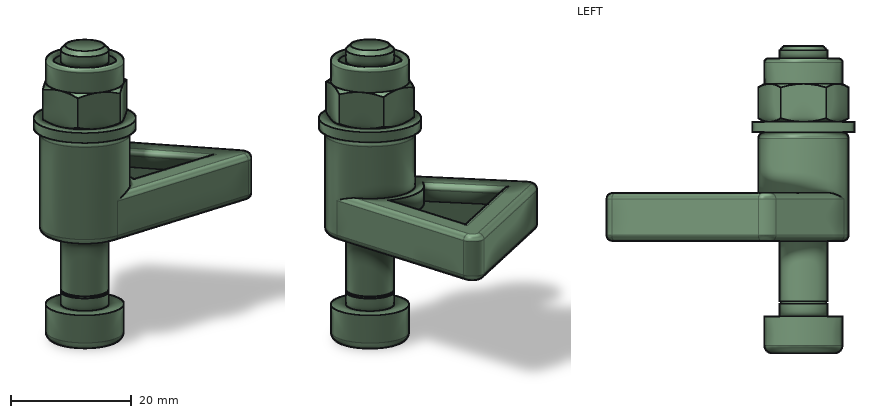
import cadquery as cq
import math

HEAD_TOP = 6.1
GROOVE_BOTTOM = 8.25
GROOVE_TOP = 8.6
HANDLE_BOTTOM = 18.6
ARM_HEIGHT = 8.0
BARREL_TOP = 36.65
WASHER_TOP = 38.4
HEX_TOP = 44.7
NUT_TOP = 48.9
BOLT_TOP = 51.0

SHANK_DIAMETER = 8.0
SHANK_RADIUS = SHANK_DIAMETER / 2
GROOVE_DIAMETER = 7.6
HEAD_DIAMETER = 13.0
HEAD_ROUNDING = 1.4
TIP_CHAMFER = 0.75

WASHER_DIAMETER = 17.0
NUT_ACROSS_FLATS = 13.0
NUT_CHAMFER_ANGLE = 30.0
LIP_THICKNESS = 1.35

BARREL_RADIUS = 15.0 / 2
CORNER_RADIUS = 2.0
OVERALL_LENGTH_X = 35.45
OVERALL_LENGTH_Y = 41.15
LEFT_CORNER_X = WASHER_DIAMETER / 2 - OVERALL_LENGTH_X + CORNER_RADIUS
LEFT_CORNER = (LEFT_CORNER_X, 6.4)
BACK_CORNER_Y = OVERALL_LENGTH_Y - WASHER_DIAMETER / 2 - CORNER_RADIUS
BACK_CORNER = (-8.15, BACK_CORNER_Y)
EDGE_ROUNDING = 1.0
RIM_WIDTH = 5.0
POCKET_DEPTH = 3.0
POCKET_END_RADIUS = 9.0
ARM_TOP = HANDLE_BOTTOM + ARM_HEIGHT


def cylinder(radius, bottom, top):
    return cq.Workplane("XY").workplane(offset=bottom).circle(radius).extrude(top - bottom)


def bore(body):
    """Cut the hole that the bolt shank fills."""
    return body.cut(cylinder(SHANK_RADIUS, 0, BOLT_TOP))


def on_circle(center, radius, angle):
    return (center[0] + radius * math.cos(angle), center[1] + radius * math.sin(angle))


def tangent_angle(start, start_radius, end, end_radius):
    """Direction of the shared normal of the tangent that keeps both circles on its left."""
    dx = end[0] - start[0]
    dy = end[1] - start[1]
    turn = math.acos((start_radius - end_radius) / math.hypot(dx, dy))
    return math.atan2(dy, dx) - turn


def middle_angle(first, second):
    """Angle halfway along the counterclockwise turn from first to second."""
    return first + (second - first) % (2 * math.pi) / 2


def add_corner(outline, center, radius, first, second):
    """Continue the outline around a corner, turning its normal from first to second.

    A negative radius stands for an inset past the corner center, which leaves a sharp corner.
    """
    middle = middle_angle(first, second)
    if radius < 0:
        return outline.lineTo(*on_circle(center, radius / math.cos(middle - first), middle))
    outline = outline.lineTo(*on_circle(center, radius, first))
    return outline.threePointArc(on_circle(center, radius, middle), on_circle(center, radius, second))


def arm_outline(bottom, inset=0.0):
    """Belt line around the barrel and the two corners, moved inward by the inset."""
    axis = (0.0, 0.0)
    right = tangent_angle(axis, BARREL_RADIUS, BACK_CORNER, CORNER_RADIUS)
    far = tangent_angle(BACK_CORNER, CORNER_RADIUS, LEFT_CORNER, CORNER_RADIUS)
    front = tangent_angle(LEFT_CORNER, CORNER_RADIUS, axis, BARREL_RADIUS)
    barrel_radius = BARREL_RADIUS - inset
    corner_radius = CORNER_RADIUS - inset

    outline = cq.Workplane("XY").workplane(offset=bottom)
    outline = outline.moveTo(*on_circle(axis, barrel_radius, right))
    outline = add_corner(outline, BACK_CORNER, corner_radius, right, far)
    outline = add_corner(outline, LEFT_CORNER, corner_radius, far, front)
    outline = add_corner(outline, axis, barrel_radius, front, right)
    return outline.close()


def make_bolt():
    head = cylinder(HEAD_DIAMETER / 2, 0, HEAD_TOP).faces("<Z").edges().fillet(HEAD_ROUNDING)
    shank = cylinder(SHANK_RADIUS, HEAD_TOP, BOLT_TOP).faces(">Z").edges().chamfer(TIP_CHAMFER)
    groove = cylinder(SHANK_RADIUS, GROOVE_BOTTOM, GROOVE_TOP).cut(
        cylinder(GROOVE_DIAMETER / 2, GROOVE_BOTTOM, GROOVE_TOP)
    )
    return head.union(shank).cut(groove)


def make_handle():
    blank = arm_outline(HANDLE_BOTTOM).extrude(ARM_HEIGHT)
    blank = blank.faces("<Z or >Z").edges().fillet(EDGE_ROUNDING)

    pocket = arm_outline(ARM_TOP - POCKET_DEPTH, RIM_WIDTH).extrude(POCKET_DEPTH)
    arm = blank.cut(pocket)
    rim_edges = arm.faces(">Z").val().innerWires()[0].Edges()
    arm = arm.newObject(rim_edges).fillet(EDGE_ROUNDING)

    pocket_end = blank.intersect(cylinder(POCKET_END_RADIUS, HANDLE_BOTTOM, ARM_TOP))

    barrel = cylinder(BARREL_RADIUS, HANDLE_BOTTOM, BARREL_TOP)
    barrel = barrel.faces("<Z or >Z").edges().fillet(EDGE_ROUNDING)
    return bore(arm.union(pocket_end).union(barrel))


def make_washer():
    return bore(cylinder(WASHER_DIAMETER / 2, BARREL_TOP, WASHER_TOP))


def make_nut():
    flat_radius = NUT_ACROSS_FLATS / 2
    corner_radius = flat_radius / math.cos(math.pi / 6)
    corner_drop = (corner_radius - flat_radius) * math.tan(math.radians(NUT_CHAMFER_ANGLE))
    hexagon = (
        cq.Workplane("XY")
        .workplane(offset=WASHER_TOP)
        .transformed(rotate=(0, 0, 30))
        .polygon(6, 2 * corner_radius)
        .extrude(HEX_TOP - WASHER_TOP)
    )
    envelope = cylinder(corner_radius, WASHER_TOP, HEX_TOP).faces("<Z or >Z").edges()
    envelope = envelope.chamfer(corner_drop, corner_radius - flat_radius)

    lip_radius = LIP_THICKNESS / 2
    recess_floor = NUT_TOP - lip_radius
    collar = cylinder(flat_radius, HEX_TOP, recess_floor)
    lip = (
        cq.Workplane("XZ")
        .moveTo(flat_radius, recess_floor)
        .threePointArc((flat_radius - lip_radius, NUT_TOP), (flat_radius - LIP_THICKNESS, recess_floor))
        .close()
        .revolve(360, (0, 0, 0), (0, 1, 0))
    )
    collar = collar.union(lip)
    return bore(hexagon.intersect(envelope).union(collar))


bolt = make_bolt()
handle = make_handle()
washer = make_washer()
nut = make_nut()

result = cq.Compound.makeCompound([bolt.val(), handle.val(), washer.val(), nut.val()])